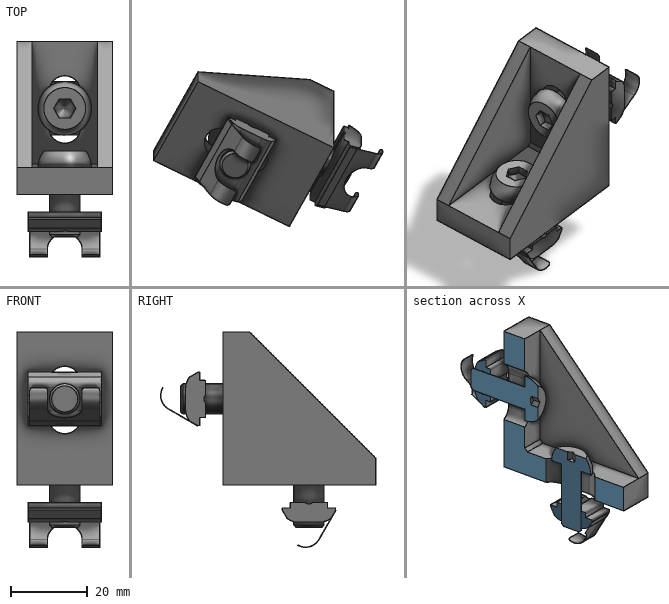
import cadquery as cq
import math

overall_size = 56.2
bracket_width = 25.0
arm_length = 39.95
arm_thickness = 7.0
rib_thickness = 4.0
corner_chamfer = 0.9
slot_width = 8.3
slot_length = 17.55
slot_distance = 22.2

screw_distance = 22.5
shank_diameter = 8.0
tip_diameter = 6.8
tip_chamfer_length = 0.7
tip_depth = 11.0
head_diameter = 14.0
head_height = 4.4
hex_across_flats = 5.0
hex_depth = 2.0
hex_cone_half_angle = 60.0

nut_length = 19.1
nut_neck_half_width = 4.9
nut_half_width = 6.95
nut_top_depth = 4.5
nut_shoulder_depth = 5.95
nut_edge_depth = 6.5
nut_corner_depth = 8.65
nut_bottom_depth = 9.65
nut_flat_half_width = 3.0
flank_angle = 30.0
groove_radius = 1.25
groove_depth = 0.45
neck_round = 0.3
rim_round = 0.15

leaf_width = 18.25
leaf_thickness = 0.1
leaf_lowest_depth = overall_size - arm_length
curl_radius = 4.1
curl_sweep = 90.0
leaf_notch_width = 9.0
leaf_notch_edge = 4.85
leaf_corner_radius = 0.85


def make_bracket():
    """Right-angle bracket with two side ribs and a slot in each arm."""
    body = (
        cq.Workplane("YZ")
        .polyline([
            (0, 0),
            (arm_length, 0),
            (arm_length, arm_thickness),
            (arm_thickness, arm_length),
            (0, arm_length),
        ])
        .close()
        .extrude(bracket_width / 2, both=True)
    )
    chamfer_end = arm_thickness + corner_chamfer
    pocket = (
        cq.Workplane("YZ")
        .polyline([
            (chamfer_end, arm_thickness),
            (arm_length, arm_thickness),
            (arm_length, arm_length),
            (arm_thickness, arm_length),
            (arm_thickness, chamfer_end),
        ])
        .close()
        .extrude(bracket_width / 2 - rib_thickness, both=True)
    )
    floor_slot = (
        cq.Workplane("XY")
        .center(0, slot_distance)
        .slot2D(slot_length, slot_width, 90)
        .extrude(arm_thickness)
    )
    wall_slot = (
        cq.Workplane("XZ")
        .center(0, slot_distance)
        .slot2D(slot_length, slot_width, 90)
        .extrude(-arm_thickness)
    )
    return body.cut(pocket).cut(floor_slot).cut(wall_slot)


def make_screw():
    """Domed-head screw with a hexagon socket and a chamfered tip."""
    head_radius = head_diameter / 2
    shank_radius = shank_diameter / 2
    head_top = arm_thickness + head_height
    crown_radius = math.sqrt(head_radius**2 - head_height**2)
    mid_height = head_height / 2
    dome_middle = (math.sqrt(head_radius**2 - mid_height**2), arm_thickness + mid_height)
    body = (
        cq.Workplane("XZ")
        .moveTo(0, -tip_depth)
        .lineTo(tip_diameter / 2, -tip_depth)
        .lineTo(shank_radius, -tip_depth + tip_chamfer_length)
        .lineTo(shank_radius, arm_thickness)
        .lineTo(head_radius, arm_thickness)
        .threePointArc(dome_middle, (crown_radius, head_top))
        .lineTo(0, head_top)
        .close()
        .revolve(360, (0, 0, 0), (0, 1, 0))
    )
    hex_across_corners = hex_across_flats * 2 / math.sqrt(3)
    hex_radius = hex_across_corners / 2
    cone_depth = hex_radius / math.tan(math.radians(hex_cone_half_angle))
    hex_prism = (
        cq.Workplane("XY", origin=(0, 0, head_top))
        .polygon(6, hex_across_corners)
        .extrude(-hex_depth - cone_depth)
    )
    pointed_bore = (
        cq.Workplane("XZ")
        .polyline([
            (0, head_top),
            (hex_radius, head_top),
            (hex_radius, head_top - hex_depth),
            (0, head_top - hex_depth - cone_depth),
        ])
        .close()
        .revolve(360, (0, 0, 0), (0, 1, 0))
    )
    return body.cut(hex_prism.intersect(pointed_bore))


def make_nut_block():
    """Slot nut with rounded corners, a groove along the top and the screw hole."""
    flank_run = (nut_corner_depth - nut_edge_depth) * math.tan(math.radians(flank_angle))
    corner_y = nut_half_width - flank_run
    round_run = corner_y - nut_flat_half_width
    round_rise = nut_bottom_depth - nut_corner_depth
    round_radius = (round_run**2 + round_rise**2) / (2 * round_rise)
    half_sweep = math.atan2(round_rise, round_run)
    round_middle = (
        nut_flat_half_width + round_radius * math.sin(half_sweep),
        -nut_bottom_depth + round_radius * (1 - math.cos(half_sweep)),
    )
    half_block = (
        cq.Workplane("YZ")
        .moveTo(0, -nut_top_depth)
        .lineTo(nut_neck_half_width - neck_round, -nut_top_depth)
        .radiusArc((nut_neck_half_width, -nut_top_depth - neck_round), neck_round)
        .lineTo(nut_neck_half_width, -nut_shoulder_depth)
        .lineTo(nut_half_width - rim_round, -nut_shoulder_depth)
        .radiusArc((nut_half_width, -nut_shoulder_depth - rim_round), rim_round)
        .lineTo(nut_half_width, -nut_edge_depth)
        .lineTo(corner_y, -nut_corner_depth)
        .threePointArc(round_middle, (nut_flat_half_width, -nut_bottom_depth))
        .lineTo(0, -nut_bottom_depth)
        .close()
        .extrude(nut_length / 2, both=True)
    )
    groove_axis_depth = nut_top_depth + groove_depth - groove_radius
    groove = (
        cq.Workplane("YZ")
        .center(0, -groove_axis_depth)
        .circle(groove_radius)
        .extrude(nut_length / 2, both=True)
    )
    hole = cq.Workplane("XY").circle(shank_diameter / 2).extrude(-tip_depth)
    return half_block.union(half_block.mirror("XZ")).cut(groove).cut(hole)


def make_leaf():
    """Spring leaf with a round-ended notch that leaves two curled arms."""
    angle = math.radians(flank_angle)
    inner_radius = curl_radius - leaf_thickness
    curl_axis_depth = leaf_lowest_depth - curl_radius
    inner_start_depth = curl_axis_depth + inner_radius * math.sin(angle)
    inner_start_y = nut_half_width - (inner_start_depth - nut_edge_depth) * math.tan(angle)
    curl_axis_y = inner_start_y - inner_radius * math.cos(angle)

    def curl_point(radius, turn):
        direction = angle + math.radians(turn)
        return (
            curl_axis_y + radius * math.cos(direction),
            -curl_axis_depth - radius * math.sin(direction),
        )

    outer_edge = (
        nut_half_width + leaf_thickness * math.cos(angle),
        -nut_edge_depth - leaf_thickness * math.sin(angle),
    )
    strip = (
        cq.Workplane("YZ")
        .moveTo(nut_half_width, -nut_edge_depth)
        .lineTo(*curl_point(inner_radius, 0))
        .threePointArc(curl_point(inner_radius, curl_sweep / 2), curl_point(inner_radius, curl_sweep))
        .lineTo(*curl_point(curl_radius, curl_sweep))
        .threePointArc(curl_point(curl_radius, curl_sweep / 2), curl_point(curl_radius, 0))
        .lineTo(*outer_edge)
        .close()
        .extrude(leaf_width / 2, both=True)
    )

    notch_radius = leaf_notch_width / 2
    notch_end_distance = (nut_half_width - leaf_notch_edge) / math.sin(angle)
    leaf_plane = cq.Plane(
        origin=(0, nut_half_width, -nut_edge_depth),
        xDir=(1, 0, 0),
        normal=(0, math.cos(angle), -math.sin(angle)),
    )
    notch_axis = notch_end_distance + notch_radius
    notch_run = 2 * curl_radius + notch_radius
    notch = (
        cq.Workplane(leaf_plane)
        .moveTo(-notch_radius, notch_axis + notch_run)
        .lineTo(-notch_radius, notch_axis)
        .threePointArc((0, notch_end_distance), (notch_radius, notch_axis))
        .lineTo(notch_radius, notch_axis + notch_run)
        .close()
        .extrude(2 * curl_radius, both=True)
    )
    leaf = strip.cut(notch)
    end_y, end_z = curl_point((inner_radius + curl_radius) / 2, curl_sweep)
    corner_finder = cq.selectors.BoxSelector(
        (-leaf_width, end_y - leaf_thickness, end_z - leaf_thickness),
        (leaf_width, end_y + leaf_thickness, end_z + leaf_thickness),
    )
    return leaf.edges(corner_finder).edges("#X").fillet(leaf_corner_radius)


def make_nut():
    """Slot nut with its spring leaf attached."""
    return make_nut_block().union(make_leaf())


def placed_on_floor(body):
    return body.translate((0, screw_distance, 0))


def placed_on_wall(body):
    return body.rotate((0, 0, 0), (1, 0, 0), -90).translate((0, 0, screw_distance))


bracket = make_bracket()
fasteners = []
for place in (placed_on_floor, placed_on_wall):
    fasteners.append(place(make_screw()).val())
    fasteners.append(place(make_nut()).val())

result = cq.Compound.makeCompound([bracket.val(), *fasteners])